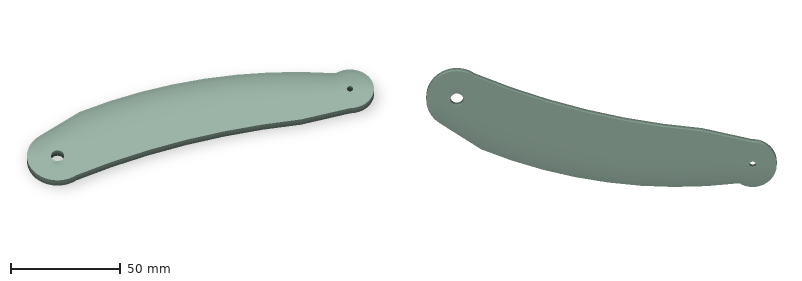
import cadquery as cq
import math

thickness = 4.0
pivot_spacing = 139.0

large_end_radius = 14.0
large_hole_diameter = 6.0
small_end_radius = 11.0
small_hole_diameter = 3.0

left_extent = 24.72
left_arc_radius = 225.0
left_arc_center = (left_arc_radius - left_extent, 55.9)
left_arc_bottom_y = 16.5

waist_x = 7.35
right_arc_radius = 332.0
right_arc_center = (waist_x + right_arc_radius, 66.0)
straight_edge_x = 10.65

large_pivot = (0.0, 0.0)
small_pivot = (0.0, pivot_spacing)


def circle_crossings(center_a, radius_a, center_b, radius_b):
    """Return the two points where two circles cross, the higher one first."""
    dx = center_b[0] - center_a[0]
    dy = center_b[1] - center_a[1]
    distance = math.hypot(dx, dy)
    along = (distance**2 + radius_a**2 - radius_b**2) / (2 * distance)
    across = math.sqrt(radius_a**2 - along**2)
    ux = dx / distance
    uy = dy / distance
    foot_x = center_a[0] + along * ux
    foot_y = center_a[1] + along * uy
    crossings = [
        (foot_x - across * uy, foot_y + across * ux),
        (foot_x + across * uy, foot_y - across * ux),
    ]
    return sorted(crossings, key=lambda point: point[1], reverse=True)


def left_side_x(center, radius, y):
    """Return X on the -X half of a circle at height y."""
    return center[0] - math.sqrt(radius**2 - (y - center[1]) ** 2)


def tangent_point(corner, radius):
    """Return where the line from corner touches, on its lower side, a circle about the origin."""
    corner_angle = math.atan2(corner[1], corner[0])
    angle = corner_angle + math.acos(radius / math.hypot(*corner))
    return (radius * math.cos(angle), radius * math.sin(angle))


def make_outline():
    """Trace the arm counterclockwise from the lower end of the right arc."""
    right_bottom = circle_crossings(large_pivot, large_end_radius, right_arc_center, right_arc_radius)[0]

    right_arc_rise = math.sqrt(right_arc_radius**2 - (right_arc_center[0] - straight_edge_x) ** 2)
    right_top = (straight_edge_x, right_arc_center[1] + right_arc_rise)

    small_end_drop = math.sqrt(small_end_radius**2 - straight_edge_x**2)
    small_end_right = (straight_edge_x, pivot_spacing - small_end_drop)

    left_top = circle_crossings(small_pivot, small_end_radius, left_arc_center, left_arc_radius)[1]
    left_bottom = (left_side_x(left_arc_center, left_arc_radius, left_arc_bottom_y), left_arc_bottom_y)
    large_end_left = tangent_point(left_bottom, large_end_radius)

    return (
        cq.Workplane("XY")
        .moveTo(*right_bottom)
        .threePointArc((waist_x, right_arc_center[1]), right_top)
        .lineTo(*small_end_right)
        .threePointArc((0.0, pivot_spacing + small_end_radius), left_top)
        .threePointArc((-left_extent, left_arc_center[1]), left_bottom)
        .lineTo(*large_end_left)
        .threePointArc((0.0, -large_end_radius), right_bottom)
        .close()
    )


def drill_pivot(body, pivot, diameter):
    """Cut a through hole at a pivot."""
    hole = cq.Workplane("XY").center(*pivot).circle(diameter / 2).extrude(thickness)
    return body.cut(hole)


arm = make_outline().extrude(thickness)
arm = drill_pivot(arm, large_pivot, large_hole_diameter)
arm = drill_pivot(arm, small_pivot, small_hole_diameter)

result = arm